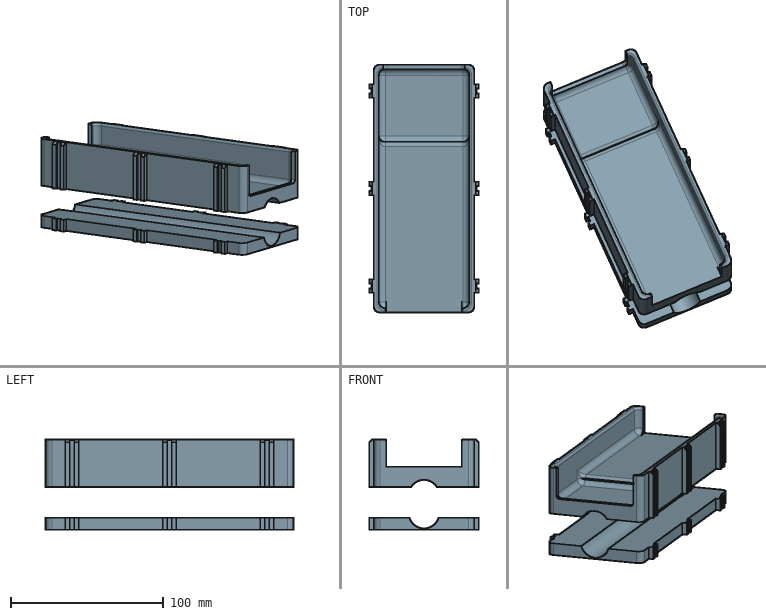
import cadquery as cq

LENGTH = 163.0
WIDTH = 72.0
TRAY_HEIGHT = 31.5
PLATE_HEIGHT = 8.0
BODY_GAP = 20.0

RAIL_REACH = 3.0
PAD_REACH = 1.5
RAIL_WIDTH = 3.0
RAIL_SPACE = 3.1
RAIL_PITCH = 64.0
RAIL_CHAMFER = 2.0

BODY_WIDTH = WIDTH - 2 * RAIL_REACH
BODY_CORNER_RADIUS = 4.0

SIDE_WALL = 3.5
END_WALL = 3.0
CAVITY_RADIUS = 4.0
RIM_RADIUS = 1.5
FRONT_DEPTH = 18.0
BACK_DEPTH = 24.0
STEP_Y = 30.6
STEP_TOP_RADIUS = 3.0

FRONT_OPENING_WIDTH = 49.5
FRONT_OPENING_TOP_RADIUS = 1.0
BACK_OPENING_WIDTH = 53.8
BACK_OPENING_DEPTH = 21.0
BACK_OPENING_RADIUS = 2.5

GROOVE_RADIUS = 10.0
TRAY_GROOVE_DEPTH = 4.7
PLATE_GROOVE_DEPTH = 7.0

TRAY_BOTTOM = PLATE_HEIGHT + BODY_GAP
TRAY_TOP = TRAY_BOTTOM + TRAY_HEIGHT
FRONT_FLOOR = TRAY_TOP - FRONT_DEPTH
BACK_FLOOR = TRAY_TOP - BACK_DEPTH
BACK_LIP = TRAY_TOP - BACK_OPENING_DEPTH
CAVITY_WIDTH = BODY_WIDTH - 2 * SIDE_WALL
CAVITY_END = LENGTH / 2 - END_WALL


def box_between(width, y_start, y_end, z_start, z_end):
    """Box centred on X that spans the given Y and Z ranges."""
    return (
        cq.Workplane("XY")
        .box(width, y_end - y_start, z_end - z_start, centered=(True, False, False))
        .translate((0, y_start, z_start))
    )


def railed_block(z_bottom, height):
    """Rounded block with three rail pairs on each long side."""
    block = box_between(BODY_WIDTH, -LENGTH / 2, LENGTH / 2, z_bottom, z_bottom + height)
    block = block.edges("|Z").fillet(BODY_CORNER_RADIUS)
    rail_offset = (RAIL_WIDTH + RAIL_SPACE) / 2
    pad_length = 2 * RAIL_WIDTH + RAIL_SPACE
    for pair_y in (-RAIL_PITCH, 0, RAIL_PITCH):
        pad = cq.Workplane("XY").box(
            BODY_WIDTH + 2 * PAD_REACH, pad_length, height, centered=(True, True, False)
        )
        block = block.union(pad.translate((0, pair_y, z_bottom)))
        for rail_y in (pair_y - rail_offset, pair_y + rail_offset):
            rail = cq.Workplane("XY").box(WIDTH, RAIL_WIDTH, height, centered=(True, True, False))
            block = block.union(rail.translate((0, rail_y, z_bottom)))
    return block


def groove_cutter(axis_z):
    """Full-length cylinder along Y."""
    return cq.Workplane("XZ").center(0, axis_z).circle(GROOVE_RADIUS).extrude(LENGTH / 2, both=True)


def rail_top_trim():
    """Two wedges that bevel the upper outer ends of the tray rails."""
    half_width = WIDTH / 2
    wedge = (
        cq.Workplane("XZ")
        .moveTo(half_width, TRAY_TOP)
        .lineTo(half_width - RAIL_CHAMFER, TRAY_TOP)
        .lineTo(half_width, TRAY_TOP - RAIL_CHAMFER)
        .close()
        .extrude(LENGTH / 2, both=True)
    )
    return wedge.union(wedge.mirror("YZ"))


def upright_pocket(y_start, y_end, z_floor, z_top):
    """Flat-floored pocket volume with rounded upright corners."""
    pocket = box_between(CAVITY_WIDTH, y_start, y_end, z_floor, z_top)
    return pocket.edges("|Z").fillet(CAVITY_RADIUS)


def rounded_pocket(y_start, y_end, z_floor):
    """Pocket volume up to the tray top, with a rounded floor edge as well."""
    pocket = box_between(CAVITY_WIDTH, y_start, y_end, z_floor, TRAY_TOP)
    return pocket.edges("|Z or <Z").fillet(CAVITY_RADIUS)


def back_floor_fillet():
    """Concave strip around the edge of the back floor."""
    strip_top = BACK_FLOOR + CAVITY_RADIUS
    strip = upright_pocket(STEP_Y, CAVITY_END, BACK_FLOOR, strip_top)
    return strip.cut(rounded_pocket(STEP_Y, CAVITY_END, BACK_FLOOR))


def front_opening():
    """Square-bottomed opening whose sides flare outward in a round at the top."""
    half_width = FRONT_OPENING_WIDTH / 2
    radius = FRONT_OPENING_TOP_RADIUS
    return (
        cq.Workplane("XZ")
        .moveTo(-half_width, FRONT_FLOOR)
        .lineTo(half_width, FRONT_FLOOR)
        .lineTo(half_width, TRAY_TOP - radius)
        .radiusArc((half_width + radius, TRAY_TOP), radius)
        .lineTo(-half_width - radius, TRAY_TOP)
        .radiusArc((-half_width, TRAY_TOP - radius), radius)
        .close()
        .extrude(END_WALL + CAVITY_RADIUS)
        .translate((0, CAVITY_RADIUS - CAVITY_END, 0))
    )


def back_opening():
    """Opening in the back wall with rounded lower corners."""
    opening = box_between(BACK_OPENING_WIDTH, CAVITY_END - CAVITY_RADIUS, LENGTH / 2, BACK_LIP, TRAY_TOP)
    return opening.edges("|Y and <Z").fillet(BACK_OPENING_RADIUS)


def make_tray():
    tray = railed_block(TRAY_BOTTOM, TRAY_HEIGHT).cut(rail_top_trim())

    tray = tray.cut(rounded_pocket(-CAVITY_END, CAVITY_END, FRONT_FLOOR))
    tray = tray.cut(upright_pocket(STEP_Y, CAVITY_END, BACK_FLOOR, TRAY_TOP))
    step_edge = cq.selectors.NearestToPointSelector((0, STEP_Y, FRONT_FLOOR))
    tray = tray.edges(step_edge).fillet(STEP_TOP_RADIUS)
    tray = tray.union(back_floor_fillet())

    rim_edge = cq.selectors.NearestToPointSelector((CAVITY_WIDTH / 2, 0, TRAY_TOP))
    tray = tray.edges(rim_edge).fillet(RIM_RADIUS)

    tray = tray.cut(front_opening()).cut(back_opening())

    return tray.cut(groove_cutter(TRAY_BOTTOM + TRAY_GROOVE_DEPTH - GROOVE_RADIUS))


def make_plate():
    plate = railed_block(0, PLATE_HEIGHT)
    return plate.cut(groove_cutter(PLATE_HEIGHT - PLATE_GROOVE_DEPTH + GROOVE_RADIUS))


tray = make_tray()
plate = make_plate()

result = cq.Compound.makeCompound([tray.val(), plate.val()])